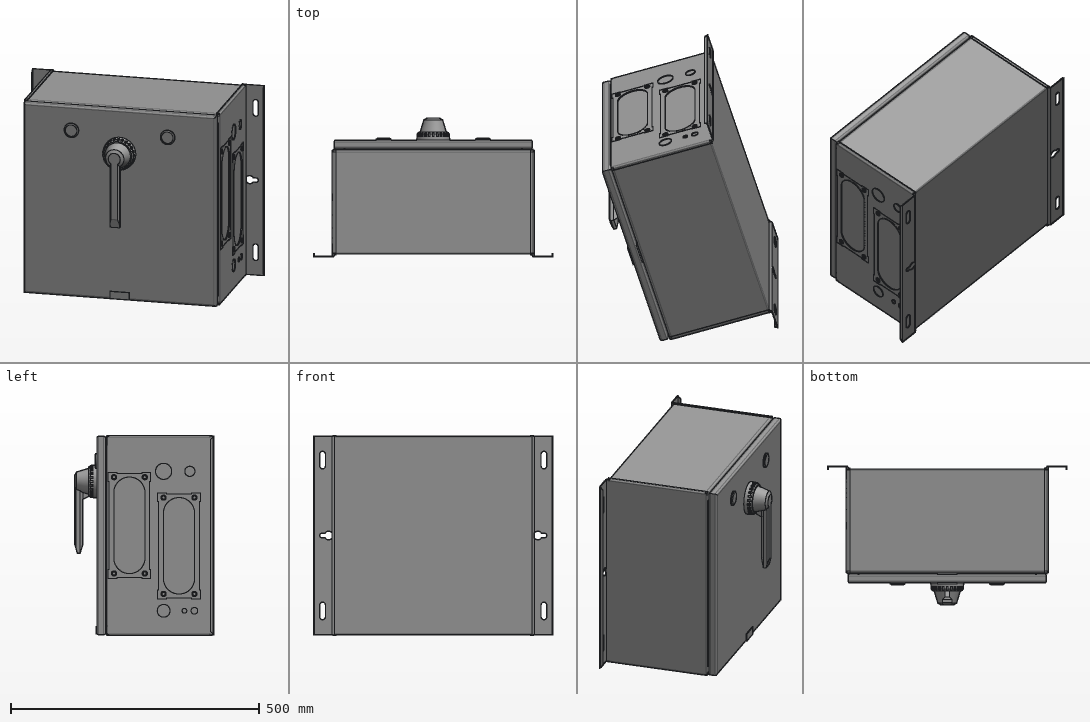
import cadquery as cq

SHEET = 1.75

BODY_HEIGHT = 400.0
BODY_BACK = 5.8
BODY_FRONT = 215.8
BACK_BEND = 2.0
FRONT_BEND = 4.5

SIDE_HEIGHT = BODY_HEIGHT + 2 * SHEET
SIDE_OUTER = 203.5
SIDE_INNER = SIDE_OUTER - SHEET
SIDE_BACK = 4.0
SIDE_BEND = 3.4
SIDE_FRONT_BEND = 1.5
LIP_INNER = 196.3

TOTAL_WIDTH = 482.3
FLANGE_HEIGHT = 400.0
FLANGE_BEND = 4.5
FLANGE_FOLD_X = 199.0
FLANGE_LIP = 7.0
LIP_CORNER = 7.0
MOUNT_SLOT_X = 223.0
MOUNT_SLOT_Z = 152.0
MOUNT_SLOT_WIDTH = 11.0
MOUNT_SLOT_LENGTH = 35.0
KEYHOLE_X = 210.7
KEYHOLE_DIAMETER = 17.0
KEYHOLE_NECK = 9.0
KEYHOLE_TIP_X = 228.5

DOOR_WIDTH = 399.5
DOOR_HEIGHT = 400.0
DOOR_BACK = 217.9
DOOR_FRONT = 235.7
DOOR_BEND = 3.9

SEAL_WIDTH = 354.0
SEAL_HEIGHT = 364.0
STRIP_INNER = 180.0
STRIP_OUTER = 200.5

BOSS_X = 100.0
BOSS_Z = 150.0
BOSS_RADIUS = 15.0
BOSS_HEIGHT = 3.6
BOSS_CHAMFER_HEIGHT = 1.5
BOSS_CHAMFER_WIDTH = 3.0
CLIP_WIDTH = 40.0
CLIP_TOP = -183.0
CLIP_BOTTOM = -198.5
CLIP_PROUD = 1.8

TOTAL_DEPTH = 280.1
KNOB_Z = 109.0
KNOB_BASE_RADIUS = 33.5
KNOB_SKIRT_RADIUS = 32.5
KNOB_SKIRT_TOP = 248.0
KNOB_RIM_RADIUS = 29.0
KNOB_CONE_START = 252.0
KNOB_CONE_RADIUS = 26.5
KNOB_SHOULDER = 276.5
KNOB_SHOULDER_RADIUS = 19.2
KNOB_TOP_RADIUS = 12.5
GRIP_COUNT = 24
GRIP_START = 243.0
GRIP_WIDTH = 3.5
GRIP_DEPTH = 1.5
ARM_WIDTH = 20.0
ARM_BACK = 263.5
ARM_TOP = 120.0
ARM_TIP = -36.0
ARM_FRONT_EDGE = 3.0
ARM_BACK_EDGE = 6.0
ARM_TAPER_START = -18.0
ARM_TIP_DEPTH = 6.0
ARM_TIP_Y = 272.0
TAB_WIDTH = 10.0
TAB_BACK = 252.0
TAB_OUTER_Z = 73.0
TAB_INNER_Z = 78.5

PLATE_CENTRES = [(170.0, 20.5), (70.0, -20.7)]
PLATE_PROUD = 0.5
PLATE_WIDTH = 86.0
PLATE_LENGTH = 213.5
PLATE_CORNER = 18.0
PLATE_RELIEF = 2.0
PLATE_SLOT_WIDTH = 63.0
PLATE_SLOT_LENGTH = 194.5
SCREW_SPACING_Y = 62.0
SCREW_SPACING_Z = 194.0
SCREW_DIAMETER = 6.5
SCREW_RECESS_DIAMETER = 10.5
SCREW_RECESS_DEPTH = 1.0
ROUND_HOLES = [
    (101.0, 129.3, 32.5),
    (48.2, 129.3, 20.5),
    (101.0, -151.7, 25.8),
    (59.0, -151.7, 9.5),
    (39.0, -151.7, 13.5),
]


def block(x_range, y_range, z_range):
    """Axis-aligned box between the given limits."""
    size = [limits[1] - limits[0] for limits in (x_range, y_range, z_range)]
    corner = (x_range[0], y_range[0], z_range[0])
    return cq.Workplane("XY").box(*size, centered=False).translate(corner)


def centred_block(width, y_range, height):
    """Box centred on X = 0 and Z = 0."""
    return block((-width / 2, width / 2), y_range, (-height / 2, height / 2))


def both_sides(half):
    """A shape on the -X side together with its mirror image."""
    return half.union(half.mirror("YZ"))


def make_body():
    """Closed box between the side panels, rounded along its top and bottom folds."""
    width = 2 * SIDE_INNER
    body = centred_block(width, (BODY_BACK, BODY_FRONT), BODY_HEIGHT)
    body = body.edges("|X and <Y").fillet(BACK_BEND)
    return body.edges("|X and >Y").fillet(FRONT_BEND)


def make_side_panel():
    """Side panel on -X with folded top and bottom lips."""
    depth = (SIDE_BACK, BODY_FRONT)
    panel = block((-SIDE_OUTER, -LIP_INNER), depth, (-SIDE_HEIGHT / 2, SIDE_HEIGHT / 2))
    panel = panel.edges("|Y and <X").fillet(SIDE_BEND)
    panel = panel.edges("|Z and >Y and <X").fillet(SIDE_FRONT_BEND)
    return panel.cut(block((-SIDE_INNER, -LIP_INNER), depth, (-BODY_HEIGHT / 2, BODY_HEIGHT / 2)))


def make_flange():
    """Mounting flange on -X, bent from the side panel and ending in an upturned lip."""
    edge = -TOTAL_WIDTH / 2
    profile = (
        cq.Workplane("XY")
        .moveTo(edge, 0)
        .lineTo(-FLANGE_FOLD_X - FLANGE_BEND, 0)
        .radiusArc((-FLANGE_FOLD_X, FLANGE_BEND), -FLANGE_BEND)
        .lineTo(-FLANGE_FOLD_X, BODY_BACK + SHEET)
        .lineTo(-SIDE_OUTER, BODY_BACK + SHEET)
        .lineTo(-SIDE_OUTER, SHEET)
        .lineTo(edge + SHEET, SHEET)
        .lineTo(edge + SHEET, FLANGE_LIP)
        .lineTo(edge, FLANGE_LIP)
        .close()
    )
    flange = profile.extrude(FLANGE_HEIGHT / 2, both=True)
    for end in (1, -1):
        corner = (
            cq.Workplane("YZ", origin=(edge, 0, 0))
            .polyline([
                (0, end * FLANGE_HEIGHT / 2),
                (FLANGE_LIP, end * FLANGE_HEIGHT / 2),
                (FLANGE_LIP, end * (FLANGE_HEIGHT / 2 - LIP_CORNER)),
            ])
            .close()
            .extrude(SHEET)
        )
        flange = flange.cut(corner)
    slots = (
        cq.Workplane("XZ")
        .pushPoints([(-MOUNT_SLOT_X, MOUNT_SLOT_Z), (-MOUNT_SLOT_X, -MOUNT_SLOT_Z)])
        .slot2D(MOUNT_SLOT_LENGTH, MOUNT_SLOT_WIDTH, 90)
        .extrude(-SHEET)
    )
    return flange.cut(slots).cut(make_keyhole())


def make_keyhole():
    """Keyhole cutter: a round entry with a narrower slot running outwards."""
    entry = cq.Workplane("XZ").center(-KEYHOLE_X, 0).circle(KEYHOLE_DIAMETER / 2).extrude(-SHEET)
    neck_length = 2 * (KEYHOLE_TIP_X - KEYHOLE_X)
    neck = cq.Workplane("XZ").center(-KEYHOLE_X, 0).slot2D(neck_length, KEYHOLE_NECK).extrude(-SHEET)
    bounds = centred_block(2 * KEYHOLE_TIP_X, (0, SHEET), KEYHOLE_DIAMETER)
    outside = bounds.cut(centred_block(2 * SIDE_OUTER, (0, SHEET), KEYHOLE_DIAMETER))
    return entry.union(neck).intersect(outside)


def make_door():
    """Door slab with rounded folds round its front and back faces."""
    door = centred_block(DOOR_WIDTH, (DOOR_BACK, DOOR_FRONT), DOOR_HEIGHT)
    return door.faces("<Y or >Y").edges().fillet(DOOR_BEND)


def make_seal():
    """Seal between body and door, with a separate strip beyond it on each side."""
    depth = (BODY_FRONT, DOOR_BACK)
    strip = block((-STRIP_OUTER, -STRIP_INNER), depth, (-SEAL_HEIGHT / 2, SEAL_HEIGHT / 2))
    return centred_block(SEAL_WIDTH, depth, SEAL_HEIGHT).union(both_sides(strip))


def make_bosses():
    """Two low round bosses on the door."""
    bosses = (
        cq.Workplane("XZ", origin=(0, DOOR_FRONT, 0))
        .pushPoints([(-BOSS_X, BOSS_Z), (BOSS_X, BOSS_Z)])
        .circle(BOSS_RADIUS)
        .extrude(-BOSS_HEIGHT)
    )
    return bosses.faces(">Y").edges().chamfer(BOSS_CHAMFER_HEIGHT, BOSS_CHAMFER_WIDTH)


def make_clip():
    """Clip through the lower edge of the door."""
    depth = (BODY_FRONT, DOOR_FRONT + CLIP_PROUD)
    return block((-CLIP_WIDTH / 2, CLIP_WIDTH / 2), depth, (CLIP_BOTTOM, CLIP_TOP))


def make_knob():
    """Conical knob with grip grooves, turned about an axis parallel to Y."""
    profile = [
        (0, DOOR_FRONT),
        (KNOB_BASE_RADIUS, DOOR_FRONT),
        (KNOB_SKIRT_RADIUS, KNOB_SKIRT_TOP),
        (KNOB_RIM_RADIUS, KNOB_CONE_START),
        (KNOB_CONE_RADIUS, KNOB_CONE_START),
        (KNOB_SHOULDER_RADIUS, KNOB_SHOULDER),
        (KNOB_TOP_RADIUS, TOTAL_DEPTH),
        (0, TOTAL_DEPTH),
    ]
    knob = cq.Workplane("XY").polyline(profile).close().revolve(360, (0, 0, 0), (0, 1, 0))
    inner = KNOB_SKIRT_RADIUS - GRIP_DEPTH
    groove = block(
        (inner, KNOB_BASE_RADIUS),
        (GRIP_START, KNOB_CONE_START),
        (-GRIP_WIDTH / 2, GRIP_WIDTH / 2),
    )
    for index in range(GRIP_COUNT):
        knob = knob.cut(groove.rotate((0, 0, 0), (0, 1, 0), index * 360 / GRIP_COUNT))
    return knob.translate((0, 0, KNOB_Z))


def make_arm():
    """Lever arm hanging from the knob with a tapered tip, and a stiffening tab behind it."""
    arm = (
        cq.Workplane("YZ")
        .polyline([
            (ARM_BACK, ARM_TOP),
            (ARM_BACK, ARM_TAPER_START),
            (ARM_TIP_Y - ARM_TIP_DEPTH / 2, ARM_TIP),
            (ARM_TIP_Y + ARM_TIP_DEPTH / 2, ARM_TIP),
            (TOTAL_DEPTH, ARM_TAPER_START),
            (TOTAL_DEPTH, ARM_TOP),
        ])
        .close()
        .extrude(ARM_WIDTH / 2, both=True)
    )
    arm = arm.edges("|Z and >Y").chamfer(ARM_FRONT_EDGE)
    arm = arm.edges("|Z and <Y").chamfer(ARM_BACK_EDGE)
    tab = (
        cq.Workplane("YZ")
        .polyline([
            (ARM_BACK, KNOB_Z),
            (ARM_BACK, TAB_OUTER_Z),
            (TAB_BACK, TAB_INNER_Z),
            (TAB_BACK, KNOB_Z),
        ])
        .close()
        .extrude(TAB_WIDTH / 2, both=True)
    )
    return arm.union(tab)


def side_plane(offset):
    """Plane parallel to the side panels, with Y across and Z up."""
    return cq.Workplane("YZ", origin=(offset, 0, 0))


def make_plate(centre):
    """Thin cover plate on the -X side, relieved along each edge between its corners."""
    def slab(width, length):
        return side_plane(-SIDE_OUTER - PLATE_PROUD).center(*centre).rect(width, length).extrude(PLATE_PROUD)

    inner_width = PLATE_WIDTH - 2 * PLATE_RELIEF
    inner_length = PLATE_LENGTH - 2 * PLATE_RELIEF
    plate = slab(inner_width, inner_length)
    gap_y = PLATE_WIDTH - 2 * PLATE_CORNER
    gap_z = PLATE_LENGTH - 2 * PLATE_CORNER
    corners = slab(PLATE_WIDTH, PLATE_LENGTH).cut(slab(gap_y, PLATE_LENGTH)).cut(slab(PLATE_WIDTH, gap_z))
    return plate.union(corners)


def make_side_cutters():
    """Cutters for the plate slots, stepped screw holes and round holes sunk through the -X side sheet."""
    start = -SIDE_OUTER - PLATE_PROUD
    depth = SHEET + PLATE_PROUD
    cutters = cq.Workplane("XY")
    for centre in PLATE_CENTRES:
        slot = side_plane(start).center(*centre).slot2D(PLATE_SLOT_LENGTH, PLATE_SLOT_WIDTH, 90)
        screw_frame = side_plane(start).center(*centre)
        screws = screw_frame.rect(SCREW_SPACING_Y, SCREW_SPACING_Z, forConstruction=True).vertices()
        cutters = cutters.add(slot.extrude(depth))
        cutters = cutters.add(screws.circle(SCREW_DIAMETER / 2).extrude(depth))
        recesses = screws.circle(SCREW_RECESS_DIAMETER / 2).extrude(SCREW_RECESS_DEPTH)
        cutters = cutters.add(recesses)
    for y, z, diameter in ROUND_HOLES:
        cutters = cutters.add(side_plane(start).center(y, z).circle(diameter / 2).extrude(depth))
    return cutters


def make_part():
    """Whole enclosure as one solid."""
    part = make_body()
    part = part.union(both_sides(make_side_panel().union(make_flange())))
    for centre in PLATE_CENTRES:
        part = part.union(make_plate(centre))
    for cutter in make_side_cutters().vals():
        part = part.cut(cq.Workplane(cutter))
    for piece in (make_seal(), make_door(), make_bosses(), make_clip(), make_knob(), make_arm()):
        part = part.union(piece)
    return part


result = make_part()